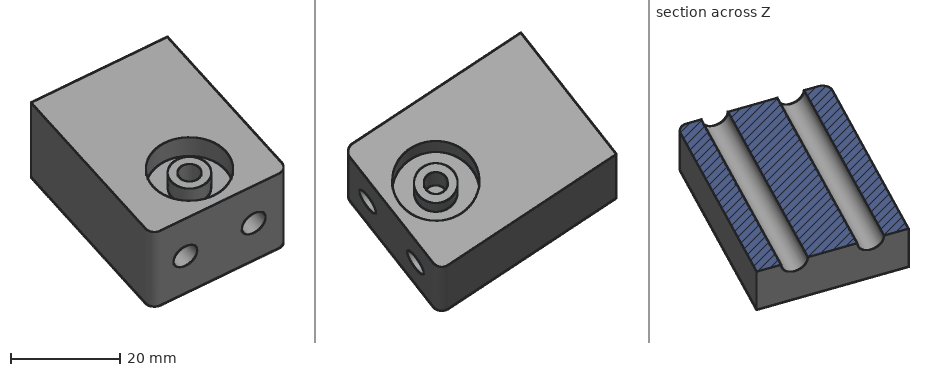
import cadquery as cq

length = 40
width = 30
height = 20
corner_radius = 2

pocket_diameter = 16
pocket_depth = 5.0
pocket_x = 0.75 * length
post_diameter = 8
post_recess = 1.0
post_hole_diameter = 4.4
post_hole_depth = 6

long_hole_diameter = 5.2
long_hole_spacing = width / 2

top_z = height / 2


def vertical_cylinder(diameter, bottom_z, cylinder_height):
    """Upright cylinder on the pocket axis."""
    return (
        cq.Workplane("XY", origin=(pocket_x, 0, bottom_z))
        .circle(diameter / 2)
        .extrude(cylinder_height)
    )


block = (
    cq.Workplane("XY")
    .box(length, width, height, centered=(False, True, True))
    .edges("|Z and >X")
    .fillet(corner_radius)
)

pocket_floor_z = top_z - pocket_depth
post_top_z = top_z - post_recess
pocket = vertical_cylinder(pocket_diameter, pocket_floor_z, pocket_depth)
post = vertical_cylinder(post_diameter, pocket_floor_z, pocket_depth - post_recess)
post_hole = vertical_cylinder(post_hole_diameter, post_top_z - post_hole_depth, post_hole_depth)

long_holes = (
    cq.Workplane("YZ")
    .pushPoints([(-long_hole_spacing / 2, 0), (long_hole_spacing / 2, 0)])
    .circle(long_hole_diameter / 2)
    .extrude(length)
)

result = block.cut(pocket.cut(post)).cut(post_hole).cut(long_holes)